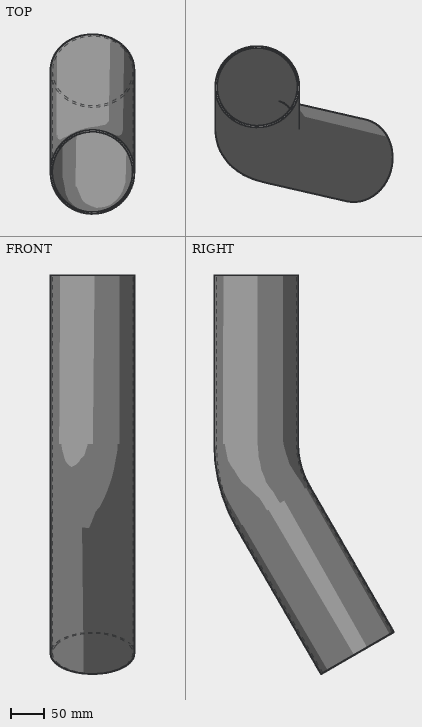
import cadquery as cq
import math

overall_height = 601.0
outer_diameter = 127.0
inner_diameter = 121.0
bend_radius = 190.5
bend_angle = 30.0

sin_bend = math.sin(math.radians(bend_angle))
cos_bend = math.cos(math.radians(bend_angle))

leg_length = (overall_height - (bend_radius + outer_diameter / 2) * sin_bend) / (1 + cos_bend)


def arc_point(angle):
    """Centreline point (Y, Z) of the bend, which starts at the origin heading down."""
    turn = math.radians(angle)
    return bend_radius * (1 - math.cos(turn)), -bend_radius * math.sin(turn)


bend_end_y, bend_end_z = arc_point(bend_angle)
lower_end = (bend_end_y + leg_length * sin_bend, bend_end_z - leg_length * cos_bend)

centreline = (
    cq.Workplane("YZ")
    .moveTo(0, leg_length)
    .lineTo(0, 0)
    .threePointArc(arc_point(bend_angle / 2), (bend_end_y, bend_end_z))
    .lineTo(*lower_end)
)

result = (
    cq.Workplane("XY", origin=(0, 0, leg_length))
    .circle(outer_diameter / 2)
    .circle(inner_diameter / 2)
    .sweep(centreline)
)